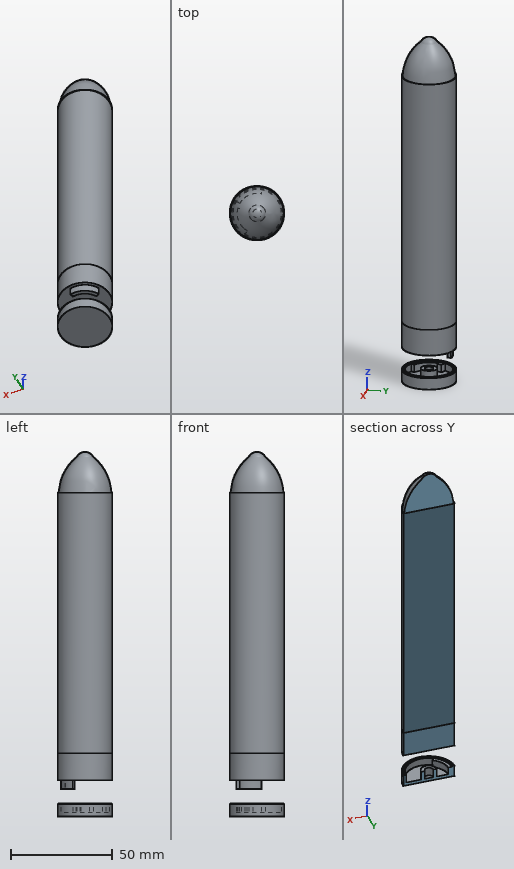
import cadquery as cq
import math

overall_height = 180.5
body_radius = 13.5
lock_outer_radius = 12.0
lock_inner_radius = 10.0

cap_height = 6.5
cap_floor = 2.0
cap_chamfer = 0.5
stop_inner_radius = 9.0
boss_radius = 4.2
boss_hole_radius = 2.2
stop_start_angle = 150.0
stop_end_angle = 165.0
ledge_end_angle = 240.0

collar_bottom = 17.9
collar_top = 31.4
tab_bottom = 13.5
tab_start_angle = 78.0
tab_end_angle = stop_start_angle

nose_bottom = 160.3
nose_base_radius = 13.2
nose_middle_radius = 10.6
nose_middle_height = 169.8
tip_radius = 4.2
tip_bottom = 178.0
dome_height = overall_height - tip_bottom
dome_sphere_radius = (tip_radius**2 + dome_height**2) / (2 * dome_height)


def cylinder(radius, bottom, top):
    """Upright cylinder on the Z axis between two heights."""
    return cq.Workplane("XY").workplane(offset=bottom).circle(radius).extrude(top - bottom)


def polar_point(radius, angle):
    """XY point at a radius and an angle in degrees from +X."""
    return (radius * math.cos(math.radians(angle)), radius * math.sin(math.radians(angle)))


def ring_segment(inner, outer, start_angle, end_angle, bottom, top):
    """Curved wall with radial ends that covers part of a turn."""
    middle_angle = (start_angle + end_angle) / 2
    return (
        cq.Workplane("XY")
        .workplane(offset=bottom)
        .moveTo(*polar_point(outer, start_angle))
        .threePointArc(polar_point(outer, middle_angle), polar_point(outer, end_angle))
        .lineTo(*polar_point(inner, end_angle))
        .threePointArc(polar_point(inner, middle_angle), polar_point(inner, start_angle))
        .close()
        .extrude(top - bottom)
    )


def make_cap():
    """Open cup with a drilled central boss and a curved ledge and stop inside its wall."""
    cup = cylinder(body_radius, 0, cap_height)
    cup = cup.cut(cylinder(lock_outer_radius, cap_floor, cap_height))
    cup = cup.faces(">Z").edges().chamfer(cap_chamfer)
    boss = cylinder(boss_radius, 0, cap_height)
    root_radius = (lock_outer_radius + body_radius) / 2
    top = cap_height - cap_chamfer
    ledge = ring_segment(lock_inner_radius, root_radius, stop_start_angle, ledge_end_angle, 0, top)
    stop = ring_segment(stop_inner_radius, root_radius, stop_start_angle, stop_end_angle, 0, top)
    boss_hole = cylinder(boss_hole_radius, cap_floor, cap_height)
    return cup.union(boss).union(ledge).union(stop).cut(boss_hole)


def make_collar():
    """Solid collar with a curved locking tab hanging below it."""
    tab = ring_segment(
        lock_inner_radius, lock_outer_radius, tab_start_angle, tab_end_angle, tab_bottom, collar_top
    )
    return cylinder(body_radius, collar_bottom, collar_top).union(tab)


def make_barrel():
    """Long plain cylinder between the collar and the nose."""
    return cylinder(body_radius, collar_top, nose_bottom)


def make_nose():
    """Rounded cone that ends in a spherical dome."""
    dome_half_angle = math.asin(tip_radius / dome_sphere_radius) / 2
    dome_middle = (
        dome_sphere_radius * math.sin(dome_half_angle),
        overall_height - dome_sphere_radius * (1 - math.cos(dome_half_angle)),
    )
    return (
        cq.Workplane("XZ")
        .moveTo(0, nose_bottom)
        .lineTo(nose_base_radius, nose_bottom)
        .threePointArc((nose_middle_radius, nose_middle_height), (tip_radius, tip_bottom))
        .threePointArc(dome_middle, (0, overall_height))
        .close()
        .revolve(360, (0, 0), (0, 1))
    )


cap = make_cap()
collar = make_collar()
barrel = make_barrel()
nose = make_nose()

result = cq.Compound.makeCompound([cap.val(), collar.val(), barrel.val(), nose.val()])